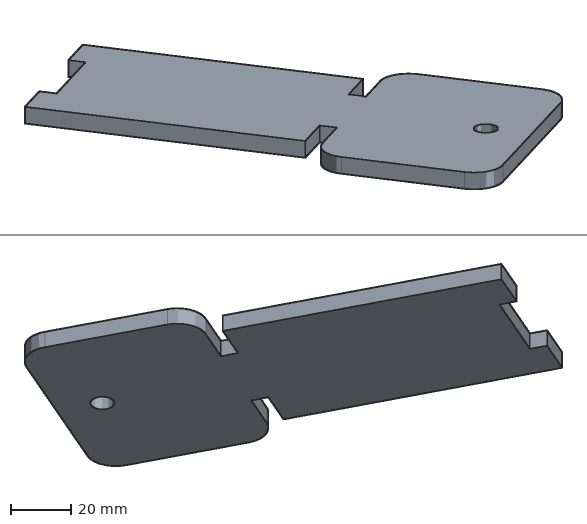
import cadquery as cq

thickness = 6.0
blade_length = 98.0
blade_width = 60.0
head_length = 63.0
head_width = 80.0
head_corner_radius = 10.0
neck_width = 30.0
hole_diameter = 8.0
hole_to_head_end = 16.0

notch_size = thickness

head_start = blade_length + notch_size
total_length = head_start + head_length
hole_x = total_length - hole_to_head_end


def plate(start_x, length, width):
    """Flat plate from start_x along +X, centred on the X axis, resting on Z = 0."""
    return (
        cq.Workplane("XY")
        .box(length, width, thickness, centered=(False, True, False))
        .translate((start_x, 0, 0))
    )


def make_blade():
    """Rectangular blade with a notch in the middle of its free end."""
    end_notch = plate(0, notch_size, neck_width)
    return plate(0, blade_length, blade_width).cut(end_notch)


def make_neck():
    """Narrow bridge that leaves a notch on each side between blade and head."""
    return plate(blade_length, notch_size, neck_width)


def make_head():
    """Wide head with four rounded corners and a round through hole."""
    head = plate(head_start, head_length, head_width).edges("|Z").fillet(head_corner_radius)
    hole = cq.Workplane("XY").center(hole_x, 0).circle(hole_diameter / 2).extrude(thickness)
    return head.cut(hole)


result = make_blade().union(make_neck()).union(make_head()).clean()